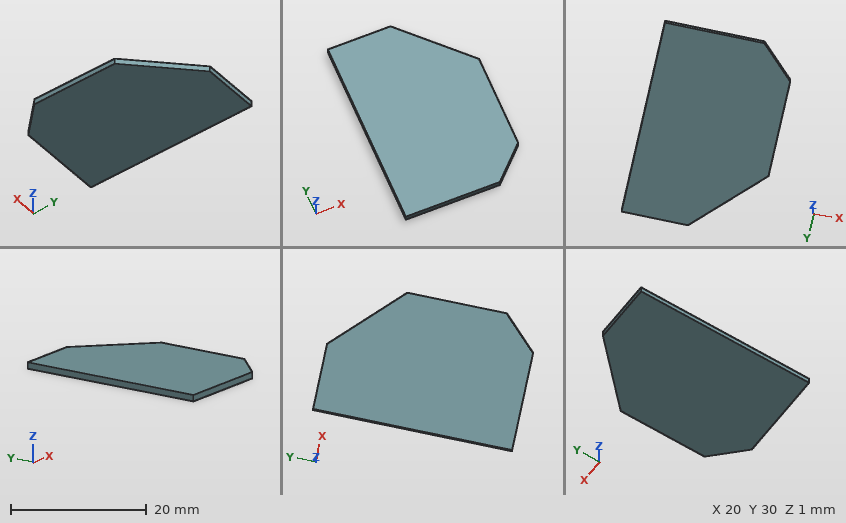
import cadquery as cq

length = 30.0
width = length * 2 / 3
thickness = length / 30
large_corner = width / 2
small_corner = width / 4

outline = [
    (0, 0),
    (width - small_corner, 0),
    (width, small_corner),
    (width, length - large_corner),
    (width - large_corner, length),
    (0, length),
]

result = cq.Workplane("XY").polyline(outline).close().extrude(thickness)